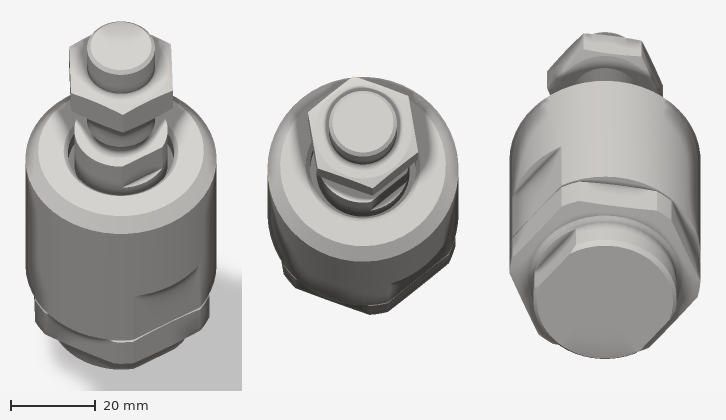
import cadquery as cq
import math

boss_height = 9.8
housing_base_z = 19.5
hex_height = housing_base_z - boss_height
housing_top_z = 63.0
collar_top_z = 71.0
stud_top_z = 103.0

housing_dia = 45.0
housing_top_chamfer = 3.0
housing_flat_width = 41.0
housing_flat_top_z = 36.0

hex_across_flats = housing_flat_width
hex_base_bevel_angle = 9.0

boss_dia = 33.8
boss_collar_dia = 36.0
boss_base_dia = 32.0
boss_base_chamfer_height = 1.2
boss_flat_width = 30.0
boss_flat_height = 8.0

groove_dia = 25.0
groove_chamfer = 1.0
groove_depth = 5.0

collar_dia = 22.0
collar_flat_width = 19.0
collar_flat_base_z = housing_top_z

stud_dia = 16.0
stud_tip_dia = 14.38
undercut_dia = 13.7
undercut_fillet = 0.8
stud_thread_base_z = 74.7

nut_across_flats = 24.0
nut_height = 8.0
nut_base_z = 87.0

hex_half_angle = 30.0
hex_face_ratio = 0.95
hex_bevel_angle = 15.0


def revolve_about_z(profile):
    """Turn a closed radius-height outline about the Z axis."""
    return profile.close().revolve(360, (0, 0, 0), (0, 1, 0))


def disc(diameter, base_z, top_z):
    return cq.Workplane("XY").workplane(offset=base_z).circle(diameter / 2).extrude(top_z - base_z)


def bevel_drop(start_radius, end_radius, angle):
    return (end_radius - start_radius) * math.tan(math.radians(angle))


def bevelled_hexagon(across_flats, base_z, height, base_face_dia, base_bevel_angle):
    """Hexagonal prism with flats facing +X and -X and both ends bevelled at the corners.

    The top bevel has the common angle; the base bevel starts at its own circle and angle.
    """
    corner_dia = across_flats / math.cos(math.radians(hex_half_angle))
    prism = (
        cq.Workplane("XY")
        .workplane(offset=base_z)
        .polygon(6, corner_dia)
        .extrude(height)
        .rotate((0, 0, 0), (0, 0, 1), hex_half_angle)
    )
    top_z = base_z + height
    rim_radius = corner_dia / 2
    base_radius = base_face_dia / 2
    top_radius = hex_face_ratio * across_flats / 2
    bevel_envelope = revolve_about_z(
        cq.Workplane("XZ")
        .moveTo(0, base_z)
        .lineTo(base_radius, base_z)
        .lineTo(rim_radius, base_z + bevel_drop(base_radius, rim_radius, base_bevel_angle))
        .lineTo(rim_radius, top_z - bevel_drop(top_radius, rim_radius, hex_bevel_angle))
        .lineTo(top_radius, top_z)
        .lineTo(0, top_z)
    )
    return prism.intersect(bevel_envelope)


def cut_wrench_flats(body, flat_width, stock_dia, base_z, top_z):
    """Mill two parallel flats facing +X and -X between two heights."""
    height = top_z - base_z
    for side in (-1, 1):
        cutter = cq.Workplane("XY").box(stock_dia, 2 * stock_dia, height, centered=(True, True, False))
        body = body.cut(cutter.translate((side * (flat_width + stock_dia) / 2, 0, base_z)))
    return body


def make_boss():
    """Round boss with a bevelled foot, a 45 degree flare up to the hexagon and two wrench flats."""
    flare = (boss_collar_dia - boss_dia) / 2
    boss = revolve_about_z(
        cq.Workplane("XZ")
        .lineTo(boss_base_dia / 2, 0)
        .lineTo(boss_dia / 2, boss_base_chamfer_height)
        .lineTo(boss_dia / 2, boss_height - flare)
        .lineTo(boss_collar_dia / 2, boss_height)
        .lineTo(0, boss_height)
    )
    return cut_wrench_flats(boss, boss_flat_width, boss_collar_dia, 0, boss_flat_height)


def make_sleeve():
    sleeve = disc(housing_dia, housing_base_z, housing_top_z).faces(">Z").chamfer(housing_top_chamfer)
    sleeve = cut_wrench_flats(sleeve, housing_flat_width, housing_dia, housing_base_z, housing_flat_top_z)
    groove = revolve_about_z(
        cq.Workplane("XZ")
        .moveTo(0, housing_top_z - groove_depth)
        .lineTo(groove_dia / 2, housing_top_z - groove_depth)
        .lineTo(groove_dia / 2, housing_top_z - groove_chamfer)
        .lineTo(groove_dia / 2 + groove_chamfer, housing_top_z)
        .lineTo(0, housing_top_z)
    )
    return sleeve.cut(groove)


def make_collar():
    collar = disc(collar_dia, housing_top_z - groove_depth, collar_top_z)
    return cut_wrench_flats(collar, collar_flat_width, collar_dia, collar_flat_base_z, collar_top_z)


def make_stud():
    """Stud with a filleted undercut at its root and a 45 degree runout up to the thread."""
    stud_radius = stud_dia / 2
    neck_radius = undercut_dia / 2
    tip_chamfer = (stud_dia - stud_tip_dia) / 2
    diagonal = math.sqrt(0.5)
    fillet_offset = undercut_fillet * (1 - diagonal)
    runout_end_radius = neck_radius + fillet_offset
    runout_end_z = stud_thread_base_z - (stud_radius - runout_end_radius)
    runout_start_z = runout_end_z - undercut_fillet * diagonal
    half_sweep = math.pi / 8
    runout_mid = (
        neck_radius + undercut_fillet * (1 - math.cos(half_sweep)),
        runout_start_z + undercut_fillet * math.sin(half_sweep),
    )
    root_mid = (
        neck_radius + fillet_offset,
        collar_top_z + fillet_offset,
    )
    return revolve_about_z(
        cq.Workplane("XZ")
        .moveTo(0, collar_top_z)
        .lineTo(neck_radius + undercut_fillet, collar_top_z)
        .threePointArc(root_mid, (neck_radius, collar_top_z + undercut_fillet))
        .lineTo(neck_radius, runout_start_z)
        .threePointArc(runout_mid, (runout_end_radius, runout_end_z))
        .lineTo(stud_radius, stud_thread_base_z)
        .lineTo(stud_radius, stud_top_z - tip_chamfer)
        .lineTo(stud_tip_dia / 2, stud_top_z)
        .lineTo(0, stud_top_z)
    )


def make_coupling():
    """Boss, hexagon, sleeve, collar and stud as one solid."""
    hexagon = bevelled_hexagon(
        hex_across_flats, boss_height, hex_height, boss_collar_dia, hex_base_bevel_angle
    )
    hexagon = hexagon.intersect(disc(housing_dia, boss_height, housing_base_z))
    return make_boss().union(hexagon).union(make_sleeve()).union(make_collar()).union(make_stud())


def make_lock_nut():
    face_dia = hex_face_ratio * nut_across_flats
    nut = bevelled_hexagon(nut_across_flats, nut_base_z, nut_height, face_dia, hex_bevel_angle)
    return nut.cut(disc(stud_dia, nut_base_z, nut_base_z + nut_height))


coupling = make_coupling()
lock_nut = make_lock_nut()

result = cq.Compound.makeCompound([coupling.solids().val(), lock_nut.solids().val()])